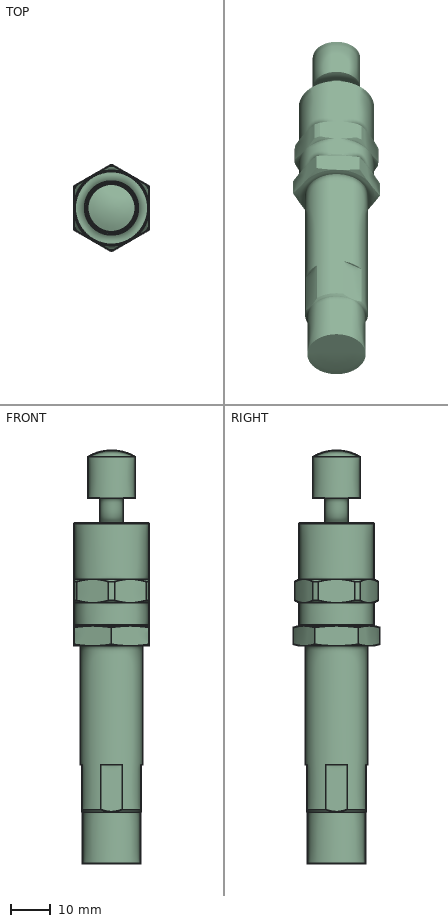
import cadquery as cq
import math

total_height = 104.2
cap_rim_z = 102.5
cap_bottom_z = 92.1
collar_top_z = 86.0
upper_hex_top_z = 71.7
upper_hex_bottom_z = 65.8
nut_top_z = 59.9
nut_bottom_z = 54.9
flat_top_z = 24.9
sleeve_bottom_z = 13.0

cap_diameter = 12.0
rod_diameter = 6.0

collar_diameter = 19.0
collar_chamfer = 0.3
across_flats = 19.0
across_corners = across_flats / math.cos(math.radians(30))
upper_hex_corner_diameter = 21.0
upper_hex_bevel_angle = 30.0
nut_bevel_angle = 15.0
sleeve_diameter = 15.8
sleeve_flat_spacing = 14.9
sleeve_chamfer_height = 0.6
tip_diameter = 14.7
bore_diameter = 12.7
bore_chamfer = 0.4
bore_floor_z = nut_top_z


def cylinder(diameter, bottom_z, top_z):
    """Cylinder on the Z axis between two heights."""
    return cq.Workplane("XY").workplane(offset=bottom_z).circle(diameter / 2).extrude(top_z - bottom_z)


def beveled_hex(corner_diameter, bevel_angle, bottom_z, top_z):
    """Hexagon with corners along Y, trimmed round and beveled conically at both ends."""
    prism = (
        cq.Workplane("XY")
        .workplane(offset=bottom_z)
        .polygon(6, across_corners)
        .extrude(top_z - bottom_z)
        .rotate((0, 0, 0), (0, 0, 1), 90)
    )
    face_radius = across_flats / 2
    rim_radius = corner_diameter / 2
    bevel_height = (rim_radius - face_radius) * math.tan(math.radians(bevel_angle))
    envelope = (
        cq.Workplane("XZ")
        .moveTo(0, bottom_z)
        .lineTo(face_radius, bottom_z)
        .lineTo(rim_radius, bottom_z + bevel_height)
        .lineTo(rim_radius, top_z - bevel_height)
        .lineTo(face_radius, top_z)
        .lineTo(0, top_z)
        .close()
        .revolve(360, (0, 0, 0), (0, 1, 0))
    )
    return prism.intersect(envelope)


def make_sleeve():
    """Long sleeve with a beveled lower end and four wrench flats."""
    sleeve_radius = sleeve_diameter / 2
    bevel_width = (sleeve_diameter - tip_diameter) / 2
    sleeve = cylinder(sleeve_diameter, sleeve_bottom_z, nut_bottom_z)
    sleeve = sleeve.faces("<Z").chamfer(sleeve_chamfer_height, bevel_width)
    flat_cut = (
        cq.Workplane("XY")
        .box(sleeve_radius, sleeve_diameter, flat_top_z - sleeve_bottom_z, centered=(False, True, False))
        .translate((sleeve_flat_spacing / 2, 0, sleeve_bottom_z))
    )
    for angle in (0, 90, 180, 270):
        sleeve = sleeve.cut(flat_cut.rotate((0, 0, 0), (0, 0, 1), angle))
    return sleeve


def make_housing():
    """Tip, sleeve, nut and collar, with a chamfered bore for the plunger."""
    collar = cylinder(collar_diameter, nut_top_z, collar_top_z)
    collar = collar.faces("<Z or >Z").edges().chamfer(collar_chamfer)
    housing = (
        cylinder(tip_diameter, 0, sleeve_bottom_z)
        .union(make_sleeve())
        .union(beveled_hex(across_corners, nut_bevel_angle, nut_bottom_z, nut_top_z))
        .union(collar)
        .union(beveled_hex(
            upper_hex_corner_diameter, upper_hex_bevel_angle, upper_hex_bottom_z, upper_hex_top_z
        ))
    )
    housing = housing.cut(cylinder(bore_diameter, bore_floor_z, collar_top_z))
    bore_mouth = housing.faces(">Z").edges(cq.selectors.RadiusNthSelector(0))
    return bore_mouth.chamfer(bore_chamfer)


def make_plunger():
    """Domed cap on a rod that stands on the bore floor."""
    rod_radius = rod_diameter / 2
    cap_radius = cap_diameter / 2
    dome_height = total_height - cap_rim_z
    dome_radius = (cap_radius**2 + dome_height**2) / (2 * dome_height)
    half_radius = cap_radius / 2
    half_z = total_height - dome_radius + math.sqrt(dome_radius**2 - half_radius**2)
    return (
        cq.Workplane("XZ")
        .moveTo(0, bore_floor_z)
        .lineTo(rod_radius, bore_floor_z)
        .lineTo(rod_radius, cap_bottom_z)
        .lineTo(cap_radius, cap_bottom_z)
        .lineTo(cap_radius, cap_rim_z)
        .threePointArc((half_radius, half_z), (0, total_height))
        .close()
        .revolve(360, (0, 0, 0), (0, 1, 0))
    )


housing = make_housing()
plunger = make_plunger()
result = cq.Compound.makeCompound([housing.val(), plunger.val()])